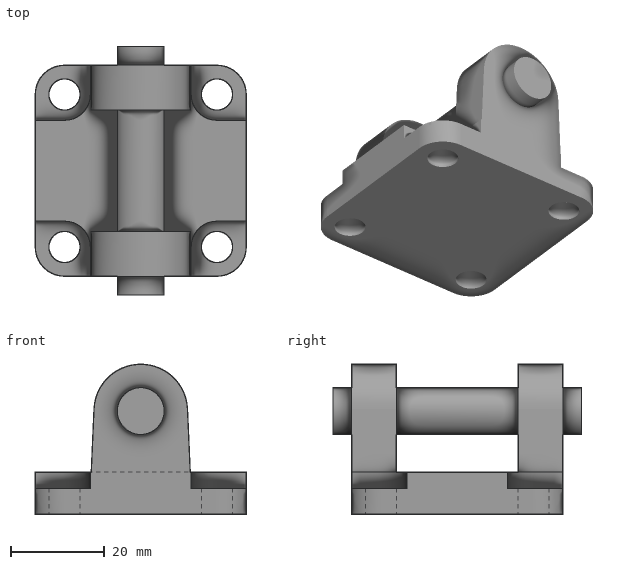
import cadquery as cq
import math

BASE_SIDE = 45.0
BASE_HEIGHT = 9.0
HOLE_SPACING = 32.5
HOLE_DIAMETER = 6.6
CORNER_RADIUS = (BASE_SIDE - HOLE_SPACING) / 2

SEAT_HEIGHT = 5.5
SEAT_RADIUS = 5.5

EAR_THICKNESS = 9.5
EAR_RADIUS = 10.0
EAR_DRAFT_DEGREES = 2.5

PIN_AXIS_HEIGHT = 22.0
PIN_DIAMETER = 10.0
PIN_LENGTH = 53.0


def make_base():
    """Square plate with rounded vertical corners, resting on Z = 0."""
    plate = cq.Workplane("XY").box(BASE_SIDE, BASE_SIDE, BASE_HEIGHT, centered=(True, True, False))
    return plate.edges("|Z").fillet(CORNER_RADIUS)


def make_ear(front_y):
    """Round-topped ear with tapered flanks, starting at front_y and extending along +Y."""
    draft = math.radians(EAR_DRAFT_DEGREES)
    tangent_x = EAR_RADIUS * math.cos(draft)
    tangent_z = PIN_AXIS_HEIGHT + EAR_RADIUS * math.sin(draft)
    foot_x = tangent_x + (tangent_z - BASE_HEIGHT) * math.tan(draft)
    ear = (
        cq.Workplane("XZ")
        .moveTo(-foot_x, BASE_HEIGHT)
        .lineTo(-tangent_x, tangent_z)
        .threePointArc((0, PIN_AXIS_HEIGHT + EAR_RADIUS), (tangent_x, tangent_z))
        .lineTo(foot_x, BASE_HEIGHT)
        .close()
        .extrude(-EAR_THICKNESS)
    )
    return ear.translate((0, front_y, 0))


def make_seat_cutter(x_sign, y_sign):
    """Corner pocket, open to both outer sides and rounded about the bolt hole axis."""
    inner_edge = HOLE_SPACING / 2 - SEAT_RADIUS
    pocket_side = BASE_SIDE / 2 - inner_edge
    pocket_center = inner_edge + pocket_side / 2
    inner_corner = ("<X" if x_sign > 0 else ">X") + " and " + ("<Y" if y_sign > 0 else ">Y")
    pocket = cq.Workplane("XY").box(
        pocket_side, pocket_side, BASE_HEIGHT - SEAT_HEIGHT, centered=(True, True, False)
    )
    pocket = pocket.edges("|Z and " + inner_corner).fillet(SEAT_RADIUS)
    return pocket.translate((x_sign * pocket_center, y_sign * pocket_center, SEAT_HEIGHT))


def make_bolt_holes():
    """Four through holes on a square pattern."""
    return (
        cq.Workplane("XY")
        .rect(HOLE_SPACING, HOLE_SPACING, forConstruction=True)
        .vertices()
        .circle(HOLE_DIAMETER / 2)
        .extrude(BASE_HEIGHT)
    )


def make_pin():
    """Cylinder along Y, centred between the ears and protruding at both ends."""
    return (
        cq.Workplane("XZ", origin=(0, PIN_LENGTH / 2, PIN_AXIS_HEIGHT))
        .circle(PIN_DIAMETER / 2)
        .extrude(PIN_LENGTH)
    )


body = make_base()
for x_sign in (-1, 1):
    for y_sign in (-1, 1):
        body = body.cut(make_seat_cutter(x_sign, y_sign))
body = body.cut(make_bolt_holes())

for front_y in (-BASE_SIDE / 2, BASE_SIDE / 2 - EAR_THICKNESS):
    body = body.union(make_ear(front_y))

result = body.union(make_pin())